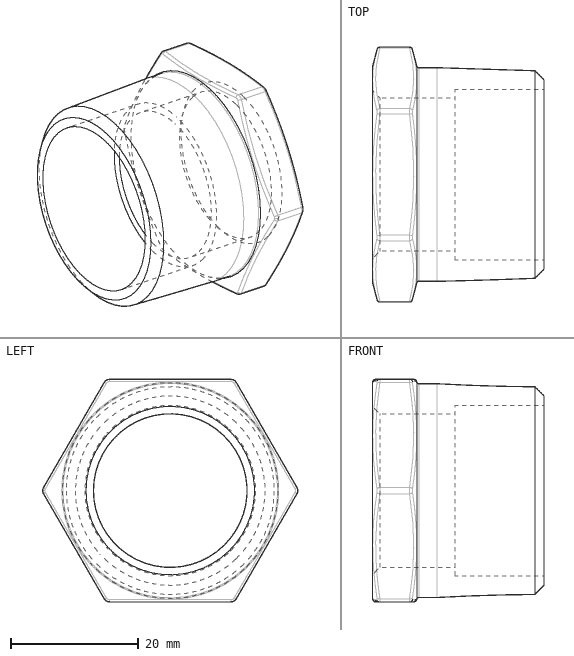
import cadquery as cq
import math

overall_length = 27.0

across_flats = 35.0
head_thickness = 7.0
corner_radius = 1.0
rim_radius = 0.5
face_circle_radius = 16.95
cone_angle = 15.0
face_round_radius = 0.8

shank_radius = 33.65 / 2
neck_end = 7.3
taper_start = 10.2
taper_ratio = 1 / 16
end_chamfer = 1.45

front_bore_radius = 24.1 / 2
countersink_radius = 26.45 / 2
rear_bore_radius = 26.83 / 2
rear_bore_start = 13.0


def revolve_about_x(profile):
    """Close an (axial, radial) profile in the XY plane and turn it around the X axis."""
    return profile.close().revolve(360, (0, 0, 0), (1, 0, 0))


def make_head():
    """Hexagon with corners on +Y and -Y, its corners trimmed by a cone at each face."""
    across_corners = across_flats / math.cos(math.radians(30))
    hexagon = (
        cq.Workplane("YZ")
        .polygon(6, across_corners)
        .extrude(head_thickness)
        .edges("|X")
        .fillet(corner_radius)
    )
    trim_radius = across_corners
    cone_depth = (trim_radius - face_circle_radius) * math.tan(math.radians(cone_angle))
    trim = revolve_about_x(
        cq.Workplane("XY")
        .lineTo(0, face_circle_radius)
        .lineTo(cone_depth, trim_radius)
        .lineTo(head_thickness - cone_depth, trim_radius)
        .lineTo(head_thickness, face_circle_radius)
        .lineTo(head_thickness, 0)
    )
    trim = trim.faces("<X").edges().fillet(face_round_radius)
    return hexagon.intersect(trim).edges("not(|X or %CIRCLE)").fillet(rim_radius)


def make_shank():
    """Concave neck, short cylinder, tapered thread body and end chamfer."""
    taper_end = overall_length - end_chamfer
    taper_end_radius = shank_radius - (taper_end - taper_start) * taper_ratio / 2
    return revolve_about_x(
        cq.Workplane("XY")
        .moveTo(head_thickness, 0)
        .lineTo(overall_length, 0)
        .lineTo(overall_length, taper_end_radius - end_chamfer)
        .lineTo(taper_end, taper_end_radius)
        .lineTo(taper_start, shank_radius)
        .lineTo(neck_end, shank_radius)
        .tangentArcPoint((head_thickness, face_circle_radius), relative=False)
    )


def make_bore():
    """Countersunk front bore that steps out to a wider rear bore."""
    countersink_depth = countersink_radius - front_bore_radius
    return revolve_about_x(
        cq.Workplane("XY")
        .lineTo(0, countersink_radius)
        .lineTo(countersink_depth, front_bore_radius)
        .lineTo(rear_bore_start, front_bore_radius)
        .lineTo(rear_bore_start, rear_bore_radius)
        .lineTo(overall_length, rear_bore_radius)
        .lineTo(overall_length, 0)
    )


result = make_head().union(make_shank()).cut(make_bore())